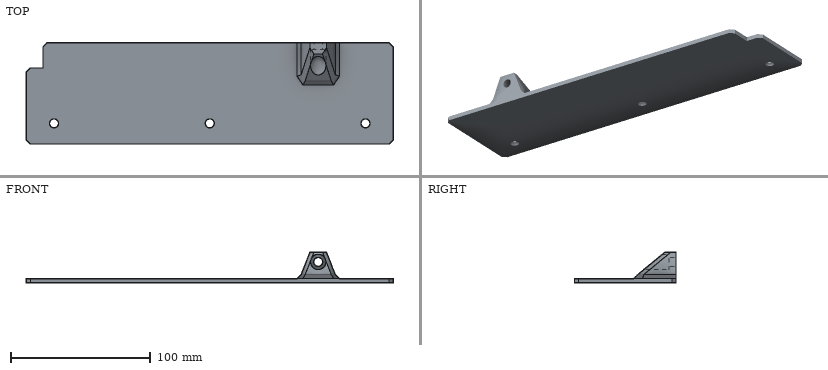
import cadquery as cq
import math

plate_length = 264.0
plate_width = 73.0
plate_thickness = 3.0
corner_chamfer = 3.0
notch_length = 12.0
notch_width = 18.0

hole_diameter = 6.3
hole_end_inset = 20.0
hole_row_y = 15.0

total_height = 22.0
lug_center_x = 210.0
lug_top_width = 12.0
lug_top_depth = 8.0
lug_side_lean = 21.5
lug_front_slope = 39.5
foot_size = 3.0
corner_cut_setback = 4.3

bore_diameter = 6.3
counterbore_diameter = 11.0
bore_height = 15.0
counterbore_floor_wall = 5.0

foot_top_z = plate_thickness + foot_size
lug_rise = total_height - foot_top_z
waist_half_width = lug_top_width / 2 + lug_rise * math.tan(math.radians(lug_side_lean))
waist_depth = lug_top_depth + lug_rise / math.tan(math.radians(lug_front_slope))
foot_half_width = waist_half_width + foot_size
foot_depth = waist_depth + foot_size


def make_plate():
    plate = (
        cq.Workplane("XY")
        .moveTo(0, 0)
        .lineTo(plate_length, 0)
        .lineTo(plate_length, plate_width)
        .lineTo(notch_length, plate_width)
        .lineTo(notch_length, plate_width - notch_width)
        .lineTo(0, plate_width - notch_width)
        .close()
        .extrude(plate_thickness)
    )
    inside_corner = cq.selectors.NearestToPointSelector(
        (notch_length, plate_width - notch_width, plate_thickness / 2)
    )
    outside_corners = cq.selectors.SubtractSelector(cq.StringSyntaxSelector("|Z"), inside_corner)
    plate = plate.edges(outside_corners).chamfer(corner_chamfer)

    hole_xs = (hole_end_inset, plate_length / 2, plate_length - hole_end_inset)
    hole_centers = [(x, hole_row_y) for x in hole_xs]
    holes = cq.Workplane("XY").pushPoints(hole_centers).circle(hole_diameter / 2).extrude(plate_thickness)
    return plate.cut(holes)


def make_lug_blank():
    """Sloped block with a flared foot: the overlap of its X-Z and Y-Z outlines."""
    across = (
        cq.Workplane("XZ", origin=(lug_center_x, plate_width, 0))
        .polyline([
            (-foot_half_width, plate_thickness),
            (-waist_half_width, foot_top_z),
            (-lug_top_width / 2, total_height),
            (lug_top_width / 2, total_height),
            (waist_half_width, foot_top_z),
            (foot_half_width, plate_thickness),
        ])
        .close()
        .extrude(foot_depth)
    )
    along = (
        cq.Workplane("YZ", origin=(lug_center_x, plate_width, 0))
        .polyline([
            (0, plate_thickness),
            (-foot_depth, plate_thickness),
            (-waist_depth, foot_top_z),
            (-lug_top_depth, total_height),
            (0, total_height),
        ])
        .close()
        .extrude(foot_half_width, both=True)
    )
    return across.intersect(along)


def make_corner_cutter(side):
    """Block whose flat face bevels the front corner on one side (-1 left, +1 right).

    The bevel leans equally towards the side face and the front face.
    """
    lean = math.radians(lug_side_lean)
    slope = math.radians(lug_front_slope)
    outward = (side * math.cos(lean), -math.sin(slope), math.sin(lean) + math.cos(slope))
    point_on_bevel = (
        lug_center_x + side * lug_top_width / 2,
        plate_width - lug_top_depth + corner_cut_setback,
        total_height,
    )
    cutter_size = 4 * foot_depth
    bevel = cq.Plane(origin=point_on_bevel, normal=outward)
    return cq.Workplane(bevel).rect(cutter_size, cutter_size).extrude(foot_depth)


def make_lug_bore():
    bore_plane = cq.Workplane("XZ", origin=(lug_center_x, plate_width, bore_height))
    bore = bore_plane.circle(bore_diameter / 2).extrude(foot_depth)
    counterbore = (
        bore_plane.workplane(offset=counterbore_floor_wall)
        .circle(counterbore_diameter / 2)
        .extrude(foot_depth - counterbore_floor_wall)
    )
    return bore.union(counterbore)


def make_lug():
    lug = make_lug_blank()
    for side in (-1, 1):
        lug = lug.cut(make_corner_cutter(side))
    return lug.cut(make_lug_bore())


result = make_plate().union(make_lug())